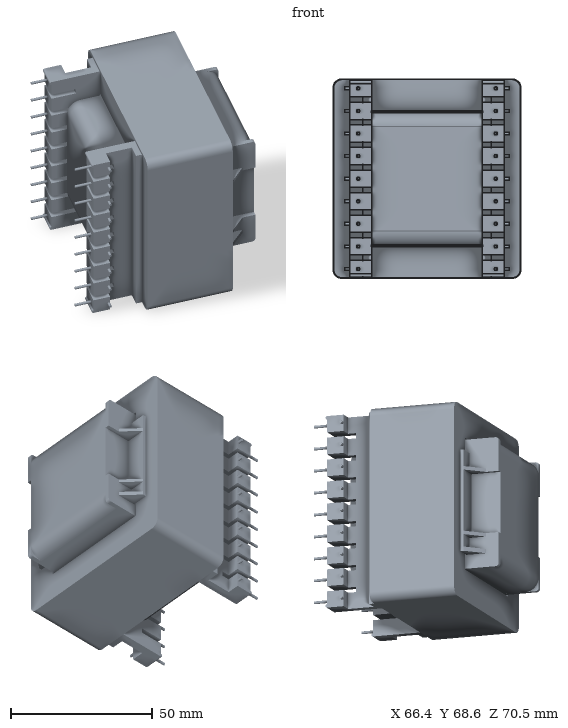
import cadquery as cq

CORE_X = 66.4
CORE_Y = 31.8
CORE_Z = 70.5
CORE_CORNER_RADIUS = 3.0
YOKE_WIDTH = 11.3
LEG_Z = 2 * YOKE_WIDTH
WINDOW_X = CORE_X - 2 * YOKE_WIDTH
WINDOW_OUTER_Z = CORE_Z - 2 * YOKE_WIDTH

COIL_X = 39.2
COIL_Y = 56.7
COIL_Z = 47.0
COIL_CORNER_RADIUS = 5.0

CLEARANCE = 0.2
TUBE_WALL = 1.2
FLANGE_THICKNESS = 1.6
FLANGE_CORNER_RADIUS = 1.2
BORE_Y = CORE_Y + 2 * CLEARANCE
BORE_Z = LEG_Z + 2 * CLEARANCE
TUBE_Y = BORE_Y + 2 * TUBE_WALL
TUBE_Z = BORE_Z + 2 * TUBE_WALL
FLANGE_INNER_X = COIL_X / 2
FLANGE_OUTER_X = FLANGE_INNER_X + FLANGE_THICKNESS
SEAT_Y = BORE_Y / 2

EAR_OUTER_X = 27.35
EAR_THICKNESS = 1.3
EAR_Z = 36.95
EAR_BACK_Y = SEAT_Y + EAR_THICKNESS
NOTCH_Z = 22.3
RIB_REACH = EAR_OUTER_X - FLANGE_OUTER_X
NOTCH_RIB_THICKNESS = 1.3
END_RIB_THICKNESS = 1.55
RIB_Z_RANGES = [
    (NOTCH_Z / 2, NOTCH_Z / 2 + NOTCH_RIB_THICKNESS),
    (-NOTCH_Z / 2 - NOTCH_RIB_THICKNESS, -NOTCH_Z / 2),
    (-EAR_Z / 2, -EAR_Z / 2 + END_RIB_THICKNESS),
]

RAIL_Z = 69.8
RAIL_WEB_X = 22.7
RAIL_FOOT_Y = -18.3
BLOCK_BACK_Y = -28.0
BLOCK_FRONT_Y = -34.2
LIP_RADIUS = 0.6
TERMINAL_COUNT = 9
TERMINAL_SPAN = 64.0
TERMINAL_PITCH = TERMINAL_SPAN / (TERMINAL_COUNT - 1)
SLOT_WIDTH = 1.9
SLOT_FLOOR_Y = -25.0

PIN_RADIUS = 0.5
PIN_X = 24.4
PIN_TIP_Y = -40.2
SIDE_PIN_Y = BLOCK_BACK_Y - PIN_RADIUS
SIDE_PIN_TIP_X = 29.2
PIN_ROOT = 1.4

SIDES = (-1, 1)
TERMINAL_Z = [(i - (TERMINAL_COUNT - 1) / 2) * TERMINAL_PITCH for i in range(TERMINAL_COUNT)]


def span_box(x_range, y_range, z_range):
    """Box between two limits, given in any order, along each axis."""
    lengths = [abs(b - a) for a, b in (x_range, y_range, z_range)]
    middle = [(a + b) / 2 for a, b in (x_range, y_range, z_range)]
    return cq.Workplane("XY").box(*lengths).translate(tuple(middle))


def make_core():
    core = cq.Workplane("XY").box(CORE_X, CORE_Y, CORE_Z).edges("|Y").fillet(CORE_CORNER_RADIUS)
    for side in SIDES:
        window_z = (side * LEG_Z / 2, side * WINDOW_OUTER_Z / 2)
        core = core.cut(span_box((-WINDOW_X / 2, WINDOW_X / 2), (-CORE_Y, CORE_Y), window_z))
    return core


def make_winding():
    coil = cq.Workplane("XY").box(COIL_X, COIL_Y, COIL_Z).edges("|X").fillet(COIL_CORNER_RADIUS)
    return coil.cut(cq.Workplane("XY").box(COIL_X, TUBE_Y, TUBE_Z))


def make_flange():
    """Plate at the +X end of the winding, notched at the back."""
    y_range = (-SEAT_Y, COIL_Y / 2)
    flange = span_box((FLANGE_INNER_X, FLANGE_OUTER_X), y_range, (-COIL_Z / 2, COIL_Z / 2))
    flange = flange.edges("|X and >Y").fillet(FLANGE_CORNER_RADIUS)
    notch = span_box(
        (FLANGE_INNER_X, FLANGE_OUTER_X), (EAR_BACK_Y, COIL_Y / 2), (-NOTCH_Z / 2, NOTCH_Z / 2)
    )
    return flange.cut(notch)


def make_ear():
    """Back ear that overlaps the core yoke, with its triangular ribs."""
    ear = span_box((FLANGE_INNER_X, EAR_OUTER_X), (SEAT_Y, EAR_BACK_Y), (-EAR_Z / 2, EAR_Z / 2))
    for bottom, top in RIB_Z_RANGES:
        rib = (
            cq.Workplane("XY", origin=(FLANGE_OUTER_X, EAR_BACK_Y, bottom))
            .polyline([(0, 0), (RIB_REACH, 0), (0, RIB_REACH)])
            .close()
            .extrude(top - bottom)
        )
        ear = ear.union(rib)
    return ear


def make_rail():
    """C-shaped terminal rail with end lips and a slot between neighbouring terminals."""
    rail = (
        cq.Workplane("XY", origin=(0, 0, -RAIL_Z / 2))
        .polyline([
            (FLANGE_INNER_X, -SEAT_Y),
            (EAR_OUTER_X, -SEAT_Y),
            (EAR_OUTER_X, RAIL_FOOT_Y),
            (RAIL_WEB_X, RAIL_FOOT_Y),
            (RAIL_WEB_X, BLOCK_BACK_Y),
            (EAR_OUTER_X, BLOCK_BACK_Y),
            (EAR_OUTER_X, BLOCK_FRONT_Y),
            (FLANGE_INNER_X, BLOCK_FRONT_Y),
        ])
        .close()
        .extrude(RAIL_Z)
    )
    for side in SIDES:
        lip = (
            cq.Workplane("YZ", origin=(FLANGE_INNER_X, BLOCK_FRONT_Y, side * (RAIL_Z / 2 - LIP_RADIUS)))
            .circle(LIP_RADIUS)
            .extrude(EAR_OUTER_X - FLANGE_INNER_X)
        )
        rail = rail.union(lip)
    for pin_z in TERMINAL_Z[:-1]:
        slot_z = pin_z + TERMINAL_PITCH / 2
        slot = span_box(
            (FLANGE_INNER_X, EAR_OUTER_X),
            (BLOCK_FRONT_Y, SLOT_FLOOR_Y),
            (slot_z - SLOT_WIDTH / 2, slot_z + SLOT_WIDTH / 2),
        )
        rail = rail.cut(slot)
    return rail


def make_terminal(pin_z):
    """Front pin along -Y and side pin along +X of one terminal."""
    root_y = BLOCK_FRONT_Y + PIN_ROOT
    front_pin = (
        cq.Workplane("XZ", origin=(PIN_X, root_y, pin_z)).circle(PIN_RADIUS).extrude(root_y - PIN_TIP_Y)
    )
    root_x = EAR_OUTER_X - PIN_ROOT
    side_pin = (
        cq.Workplane("YZ", origin=(root_x, SIDE_PIN_Y, pin_z))
        .circle(PIN_RADIUS)
        .extrude(SIDE_PIN_TIP_X - root_x)
    )
    return front_pin, side_pin


def make_bobbin():
    end = make_flange().union(make_ear()).union(make_rail())
    for pin_z in TERMINAL_Z:
        for pin in make_terminal(pin_z):
            end = end.union(pin)
    bobbin = cq.Workplane("XY").box(COIL_X, TUBE_Y, TUBE_Z).union(end).union(end.mirror("YZ"))
    bore = cq.Workplane("XY").box(2 * FLANGE_OUTER_X, BORE_Y, BORE_Z)
    return bobbin.cut(bore)


core = make_core()
winding = make_winding()
bobbin = make_bobbin()

result = cq.Compound.makeCompound([body.solids().val() for body in (core, winding, bobbin)])